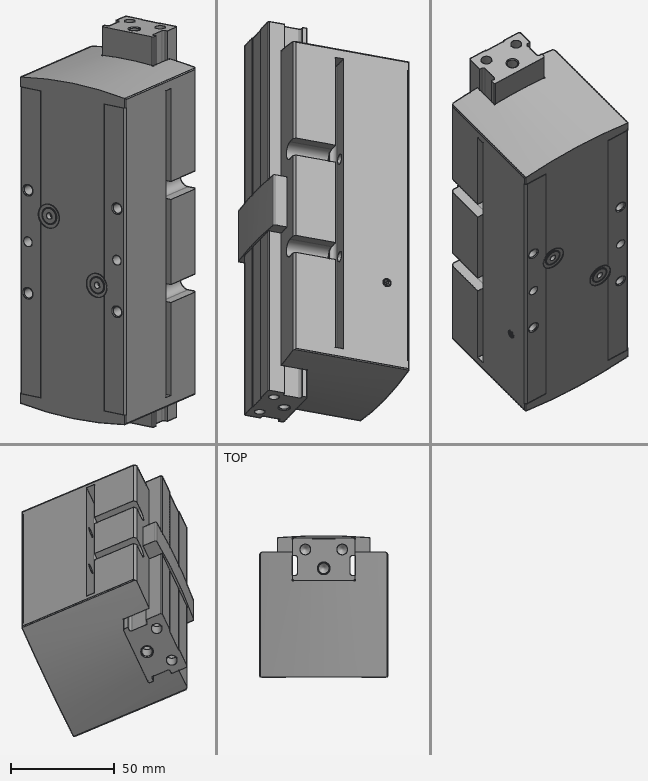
import cadquery as cq
import math


housing_width = 62.0
housing_back_y = 60.6
housing_centre_length = 169.5
housing_edge_length = 164.8
back_chamfer = 1.2
edge_chamfer = 0.5

pad_height = 0.2
pad_chamfer = 1.2
pad_inner_x = 18.5
pad_length = 155.2

mount_spacing = 26.0
mount_hole_diameter = 5.0
mount_hole_chamfer = 0.5
locating_hole_diameter = 5.0
locating_hole_depth = 7.9

side_groove_diameter = 4.1
side_groove_y = 36.7
side_groove_depth = 10.0
bolt_slot_diameter = 9.0

rail_length = 197.4
rail_width = 30.2
rail_front_y = 46.8
rail_back_y = 67.3
rail_chamfer = 0.5
rail_groove_depth = 2.4
rail_groove_front_y = 49.4
rail_groove_back_y = 58.8
rail_groove_fillet = 1.0
back_channel_width = 10.7
back_channel_depth = 0.4
end_hole_diameter = 5.1
end_hole_x = 8.9
end_hole_y = 61.8
centre_hole_diameter = 5.1
centre_hole_chamfer = 0.5
centre_hole_y = 52.7
end_hole_depth = 9.9

carriage_width = 44.8
carriage_length = 26.8
carriage_edge_y = 67.5
carriage_fillet = 0.8
carriage_crown_y = 68.5

plug_x = 14.0
plug_z = 15.0
spotface_diameter = 12.0
spotface_depth = 0.4
plug_diameter = 8.5
plug_length = 6.0
plug_chamfer = 0.4
plug_socket_diameter = 3.2
plug_socket_depth = 3.0

screw_y = 11.8
screw_z = -37.9
screw_diameter = 4.1
screw_length = 6.0
screw_chamfer = 0.5
screw_socket_diameter = 1.55
screw_socket_depth = 2.0

drill_point_angle = 118.0

INTO_FACE = (0, 1, 0)
INTO_SIDE = (1, 0, 0)

half_width = housing_width / 2
spotface_y = pad_height + spotface_depth
plug_places = [(-plug_x, plug_z), (plug_x, -plug_z)]


def rod(diameter, length, start, direction):
    """Solid cylinder from a start point along a direction."""
    return cq.Workplane(cq.Solid.makeCylinder(diameter / 2, length, cq.Vector(*start), cq.Vector(*direction)))


def drilled_hole(diameter, depth, start, direction):
    """Blind hole with a conical drill point."""
    radius = diameter / 2
    axis = cq.Vector(*direction)
    tip_start = cq.Vector(*start) + axis * depth
    tip_length = radius / math.tan(math.radians(drill_point_angle / 2))
    tip = cq.Solid.makeCone(radius, 0, tip_length, tip_start, axis)
    return rod(diameter, depth, start, direction).union(cq.Workplane(tip))


def countersink(diameter, size, start, direction):
    """45-degree chamfer cone at the mouth of a hole."""
    radius = diameter / 2
    cone = cq.Solid.makeCone(radius + size, radius, size, cq.Vector(*start), cq.Vector(*direction))
    return cq.Workplane(cone)


def block(x_range, y_range, z_range):
    """Box between two limits on each axis."""
    sizes = [high - low for low, high in (x_range, y_range, z_range)]
    corner = (x_range[0], y_range[0], z_range[0])
    return cq.Workplane(cq.Solid.makeBox(*sizes, cq.Vector(*corner)))


def housing_blank():
    """Block with crowned ends and chamfered edges; the pads are not yet relieved."""
    half_edge = housing_edge_length / 2
    half_centre = housing_centre_length / 2
    crowned = (
        cq.Workplane("XZ")
        .moveTo(-half_width, -half_edge)
        .threePointArc((0, -half_centre), (half_width, -half_edge))
        .lineTo(half_width, half_edge)
        .threePointArc((0, half_centre), (-half_width, half_edge))
        .close()
        .extrude(-housing_back_y)
    )
    crowned = crowned.edges("|Y").chamfer(edge_chamfer)
    crowned = crowned.edges("|Z and >Y").chamfer(back_chamfer)
    return crowned.edges("|Z and <Y").chamfer(pad_height + edge_chamfer)


def pad_relief():
    """Thin layer of the mounting face that is cut away around the two raised pads."""
    layer = block((-half_width, half_width), (0, pad_height), (-rail_length / 2, rail_length / 2))
    for side in (-1, 1):
        pad_x = sorted((side * pad_inner_x, side * half_width))
        layer = layer.cut(block(pad_x, (0, pad_height), (-pad_length / 2, pad_length / 2)))
    return layer


def pad_edge_chamfer(side):
    """Prism that bevels the outer edge of one pad over the length of the pad."""
    outer_x = side * half_width
    return (
        cq.Workplane("XY", origin=(0, 0, -pad_length / 2))
        .polyline([(outer_x, 0), (outer_x - side * pad_chamfer, 0), (outer_x, pad_chamfer)])
        .close()
        .extrude(pad_length)
    )


def mounting_cuts(side):
    """Bolt holes with open head slots, locating hole and groove of one long side."""
    hole_x = side * mount_spacing
    outer_x = side * half_width
    cuts = [drilled_hole(locating_hole_diameter, locating_hole_depth, (hole_x, 0, 0), INTO_FACE)]
    groove_radius = side_groove_diameter / 2
    floor_x = outer_x - side * (side_groove_depth - groove_radius)
    groove_start = (floor_x, side_groove_y, -pad_length / 2)
    cuts.append(rod(side_groove_diameter, pad_length, groove_start, (0, 0, 1)))
    groove_y = (side_groove_y - groove_radius, side_groove_y + groove_radius)
    cuts.append(block(sorted((floor_x, outer_x)), groove_y, (-pad_length / 2, pad_length / 2)))
    slot_bottom_y = side_groove_y + groove_radius
    slot_depth = housing_back_y - slot_bottom_y
    slot_radius = bolt_slot_diameter / 2
    slot_x = sorted((hole_x, outer_x))
    for hole_z in (-mount_spacing, mount_spacing):
        hole_start = (hole_x, 0, hole_z)
        cuts.append(rod(mount_hole_diameter, housing_back_y, hole_start, INTO_FACE))
        cuts.append(countersink(mount_hole_diameter, mount_hole_chamfer, hole_start, INTO_FACE))
        cuts.append(rod(bolt_slot_diameter, slot_depth, (hole_x, slot_bottom_y, hole_z), INTO_FACE))
        slot_z = (hole_z - slot_radius, hole_z + slot_radius)
        cuts.append(block(slot_x, (slot_bottom_y, housing_back_y), slot_z))
    return cuts


def make_housing():
    """Housing with the rail channel, mounting features and seats for the plugs and the screw."""
    body = housing_blank().cut(pad_relief())
    half_rail = rail_width / 2
    channel_y = (rail_front_y, rail_back_y)
    body = body.cut(block((-half_rail, half_rail), channel_y, (-rail_length / 2, rail_length / 2)))
    for side in (-1, 1):
        body = body.cut(pad_edge_chamfer(side))
        for cut in mounting_cuts(side):
            body = body.cut(cut)
    for x, z in plug_places:
        body = body.cut(rod(spotface_diameter, spotface_y, (x, 0, z), INTO_FACE))
        body = body.cut(rod(plug_diameter, plug_length, (x, spotface_y, z), INTO_FACE))
    return body.cut(rod(screw_diameter, screw_length, (-half_width, screw_y, screw_z), INTO_SIDE))


def rail_end_holes(end):
    """Two screw holes and a chamfered centre hole in one end face of the rail."""
    end_z = end * rail_length / 2
    inward = (0, 0, -end)
    holes = [drilled_hole(end_hole_diameter, end_hole_depth, (x, end_hole_y, end_z), inward)
             for x in (-end_hole_x, end_hole_x)]
    centre_start = (0, centre_hole_y, end_z)
    holes.append(drilled_hole(centre_hole_diameter, end_hole_depth, centre_start, inward))
    holes.append(countersink(centre_hole_diameter, centre_hole_chamfer, centre_start, inward))
    return holes


def make_rail():
    """Rail with a groove with rounded floor corners along each side and a shallow channel along its back."""
    half_rail = rail_width / 2
    z_range = (-rail_length / 2, rail_length / 2)
    rail = block((-half_rail, half_rail), (rail_front_y, rail_back_y), z_range)
    rail = rail.edges("|Z").chamfer(rail_chamfer)
    for side in (-1, 1):
        groove_x = sorted((side * half_rail, side * (half_rail - rail_groove_depth)))
        floor_edges = "|Z and " + ("<X" if side > 0 else ">X")
        groove = block(groove_x, (rail_groove_front_y, rail_groove_back_y), z_range)
        groove = groove.edges(floor_edges).fillet(rail_groove_fillet)
        rail = rail.cut(groove)
    half_channel = back_channel_width / 2
    channel_y = (rail_back_y - back_channel_depth, rail_back_y)
    rail = rail.cut(block((-half_channel, half_channel), channel_y, z_range))
    for end in (-1, 1):
        for hole in rail_end_holes(end):
            rail = rail.cut(hole)
    return rail


def make_carriage():
    """Carriage with a crowned back, straddling the rail on the back of the housing."""
    half_carriage = carriage_width / 2
    half_rail = rail_width / 2
    body = (
        cq.Workplane("XY", origin=(0, 0, -carriage_length / 2))
        .moveTo(-half_carriage, housing_back_y)
        .lineTo(-half_rail, housing_back_y)
        .lineTo(-half_rail, rail_back_y)
        .lineTo(half_rail, rail_back_y)
        .lineTo(half_rail, housing_back_y)
        .lineTo(half_carriage, housing_back_y)
        .lineTo(half_carriage, carriage_edge_y)
        .threePointArc((0, carriage_crown_y), (-half_carriage, carriage_edge_y))
        .close()
        .extrude(carriage_length)
    )
    left_corner = cq.selectors.NearestToPointSelector((-half_carriage, carriage_edge_y, 0))
    right_corner = cq.selectors.NearestToPointSelector((half_carriage, carriage_edge_y, 0))
    return body.edges(left_corner + right_corner).fillet(carriage_fillet)


def make_plug(x, z):
    """Round plug with a round socket, seated in the spotface of the mounting face."""
    start = (x, spotface_y, z)
    plug = rod(plug_diameter, plug_length, start, INTO_FACE).faces("<Y").chamfer(plug_chamfer)
    return plug.cut(rod(plug_socket_diameter, plug_socket_depth, start, INTO_FACE))


def make_screw():
    """Set screw with a round socket, flush with the -X side."""
    start = (-half_width, screw_y, screw_z)
    screw = rod(screw_diameter, screw_length, start, INTO_SIDE).faces("<X").chamfer(screw_chamfer)
    return screw.cut(rod(screw_socket_diameter, screw_socket_depth, start, INTO_SIDE))


housing = make_housing()
rail = make_rail()
carriage = make_carriage()
plugs = [make_plug(x, z).val() for x, z in plug_places]
screw = make_screw()

result = cq.Compound.makeCompound([housing.val(), rail.val(), carriage.val(), *plugs, screw.val()])